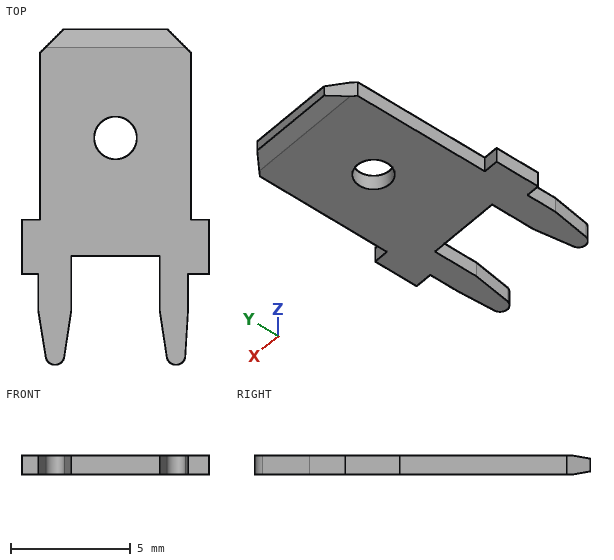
import cadquery as cq
import math


thickness = 0.81
overall_length = 14.1

blade_width = 6.35
corner_chamfer = 1.0
tip_bevel_length = 0.76
tip_bevel_angle = 10.0
hole_diameter = 1.78
hole_from_tip = 4.57

shoulder_width = 7.87
shoulder_height = 2.29

leg_length = 3.81
leg_straight_length = 1.52
leg_pitch = 5.08
leg_gap = 3.7
leg_gap_depth = 0.76
left_leg_width = 1.4
right_leg_width = 1.2
leg_end_width = 0.78
leg_end_height = 0.32

blade_tip_y = overall_length - leg_length
cut_margin = 1.0


def make_blade():
    """Blade plate from the seating edge to the tip, with both tip corners cut at 45 degrees."""
    return (
        cq.Workplane("XY")
        .box(blade_width, blade_tip_y, thickness, centered=(True, False, True))
        .edges("|Z and >Y")
        .chamfer(corner_chamfer)
    )


def make_shoulders():
    """Wide band that stops the terminal at the board."""
    return cq.Workplane("XY").box(
        shoulder_width, shoulder_height, thickness, centered=(True, False, True)
    )


def make_leg_gap():
    """Cutter that extends the space between the legs up into the shoulders."""
    return cq.Workplane("XY").box(
        leg_gap, 2 * leg_gap_depth, thickness + cut_margin
    )


def make_leg(side, width):
    """Tapered leg with a rounded end; side is -1 for the -X leg and +1 for the +X leg."""
    inner_x = side * leg_gap / 2
    outer_x = side * (leg_gap / 2 + width)
    end_x = side * leg_pitch / 2
    end_inner_x = end_x - side * leg_end_width / 2
    end_outer_x = end_x + side * leg_end_width / 2
    round_start_y = leg_end_height - leg_length
    return (
        cq.Workplane("XY", origin=(0, 0, -thickness / 2))
        .moveTo(inner_x, 0)
        .lineTo(inner_x, -leg_straight_length)
        .lineTo(end_inner_x, round_start_y)
        .threePointArc((end_x, -leg_length), (end_outer_x, round_start_y))
        .lineTo(outer_x, -leg_straight_length)
        .lineTo(outer_x, 0)
        .close()
        .extrude(thickness)
    )


def make_tip_bevel(face):
    """Wedge cutter for the blade tip; face is +1 for the upper face and -1 for the lower face."""
    slope = math.tan(math.radians(tip_bevel_angle))
    face_z = thickness / 2
    bevel_start_y = blade_tip_y - tip_bevel_length
    wedge_end_y = blade_tip_y + cut_margin
    wedge_depth = (tip_bevel_length + cut_margin) * slope
    return (
        cq.Workplane("YZ")
        .moveTo(bevel_start_y, face * face_z)
        .lineTo(wedge_end_y, face * face_z)
        .lineTo(wedge_end_y, face * (face_z - wedge_depth))
        .close()
        .extrude(blade_width, both=True)
    )


def make_hole():
    """Cutter for the round latching hole through the blade."""
    return (
        cq.Workplane("XY", origin=(0, blade_tip_y - hole_from_tip, -thickness / 2))
        .circle(hole_diameter / 2)
        .extrude(thickness)
    )


terminal = make_blade().union(make_shoulders())
terminal = terminal.cut(make_leg_gap())
for leg_side, leg_width in ((-1, left_leg_width), (1, right_leg_width)):
    terminal = terminal.union(make_leg(leg_side, leg_width))
for bevel_face in (1, -1):
    terminal = terminal.cut(make_tip_bevel(bevel_face))
result = terminal.cut(make_hole()).clean()